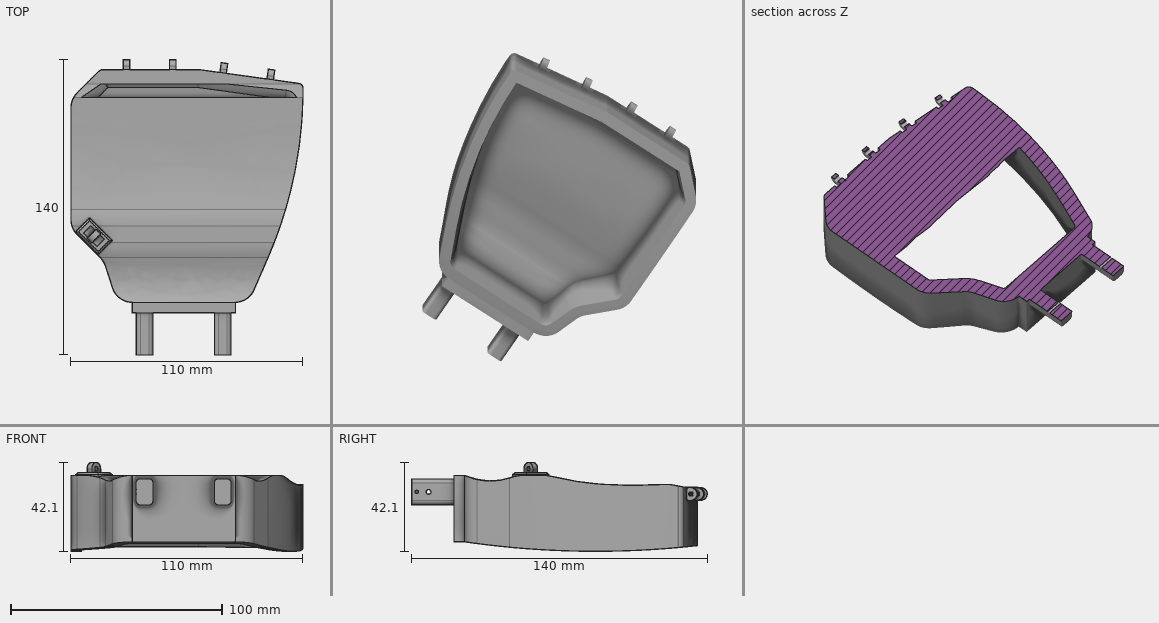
import cadquery as cq
import math

PALM_WIDTH = 110.0
KNUCKLE_Y = 110.3
SIDE_TOP_Y = 96.3
SIDE_LOW_Y = 35.1
WAIST = (15.6, 19.5)
WRIST_LEFT_X = 21.9
SLANT_START_X = 60.7
SLANT_END_Y = 103.5
BULGE_RADIUS = 200.0
BULGE_CENTRE_Y = 101.0
BULGE_END_Y = 21.3
OUTLINE_FILLET = 10.0
KNUCKLE_LEFT_FILLET = 3.0
KNUCKLE_RIGHT_FILLET = 2.5

PALM_HEIGHT = 42.14
TOP_Z = 36.0
STRIP_Z = 30.6
WRIST_BOTTOM_Z = 4.5
KNUCKLE_BOTTOM_Z = 2.7
LOWEST_Y = 63.0
STRIP_Y = 103.5
TROUGH_Y = 97.1
SADDLE_Y = 75.8
SADDLE_Z = 31.3
TROUGH_EDGE_Z = 31.8
SADDLE_END = (1.0, 0.05)
RISE_Y = 44.1
RISE_Z = 35.0
RIDGE_BACK_Y = 36.1
RIDGE_FRONT_Y = 28.5
DIP_START = (21.3, 34.8)
DIP = (12.5, 33.3)

WALL = 5.0
UPPER_WALL = 8.5
ROOF = 5.0
TROUGH_FLOOR_Z = 28.5

PLATE_X = (29.0, 78.0)
PLATE_DEPTH = 5.0
PEG_XS = (34.9, 71.9)
PEG_WIDTH = 8.0
PEG_HEIGHT = 12.4
PEG_LENGTH = 20.0
PEG_FILLET = 2.0
PEG_Z = 28.2
PEG_EMBED = 1.0
PIN_DIAMETER = 2.2
PIN_FROM_END = 8.0
EXTRA_PIN_DIAMETER = 1.6
EXTRA_PIN_FROM_END = 2.4

LOOP_RADIUS = 3.0
LOOP_WIDTH = 3.2
LOOP_HOLE = 2.0
LOOP_GROOVE = 9.0
LOOP_STANDOFF = 1.7
LOOP_ROOT = 3.2
KNUCKLE_LOOP_Z = 27.2
STRAIGHT_LOOP_XS = (26.3, 48.2)
SLANT_LOOP_XS = (72.1, 94.4)

PAD_CENTRE = (10.9, 31.4)
PAD_LENGTH = 15.2
PAD_WIDTH = 9.4
PAD_HEIGHT = 1.4
PAD_CHAMFER = 1.0
PAD_EMBED = 3.0
PAD_TURN = -45.0
PAD_LOOP_Z = PALM_HEIGHT - LOOP_RADIUS

SLANT_ANGLE = math.degrees(math.atan2(SLANT_END_Y - KNUCKLE_Y, PALM_WIDTH - SLANT_START_X))
TALL = 60.0


def bulge_point(angle):
    """Point of the bulging right side, by the angle below its widest point."""
    centre_x = PALM_WIDTH - BULGE_RADIUS
    return (
        centre_x + BULGE_RADIUS * math.cos(angle),
        BULGE_CENTRE_Y - BULGE_RADIUS * math.sin(angle),
    )


def palm_prism():
    """Palm outline as a tall prism with its vertical edges rounded."""
    left_top = (0, SIDE_TOP_Y)
    knuckle_left = (KNUCKLE_Y - SIDE_TOP_Y, KNUCKLE_Y)
    knuckle_right = (PALM_WIDTH, SLANT_END_Y)
    bulge_angle = math.asin((BULGE_CENTRE_Y - BULGE_END_Y) / BULGE_RADIUS)
    bulge_end = bulge_point(bulge_angle)
    wrist_right = (bulge_end[0] - BULGE_END_Y * math.tan(bulge_angle), 0)
    wrist_left = (WRIST_LEFT_X, 0)
    left_low = (0, SIDE_LOW_Y)
    prism = (
        cq.Workplane("XY")
        .moveTo(*left_top)
        .lineTo(*knuckle_left)
        .lineTo(SLANT_START_X, KNUCKLE_Y)
        .lineTo(*knuckle_right)
        .lineTo(PALM_WIDTH, BULGE_CENTRE_Y)
        .threePointArc(bulge_point(bulge_angle / 2), bulge_end)
        .lineTo(*wrist_right)
        .lineTo(*wrist_left)
        .lineTo(*WAIST)
        .lineTo(*left_low)
        .close()
        .extrude(TALL)
    )
    rounded = [(corner, OUTLINE_FILLET) for corner in (left_top, wrist_right, wrist_left, WAIST, left_low)]
    rounded.append((knuckle_left, KNUCKLE_LEFT_FILLET))
    rounded.append((knuckle_right, KNUCKLE_RIGHT_FILLET))
    for (x, y), radius in rounded:
        nearest = cq.selectors.NearestToPointSelector((x, y, TALL / 2))
        prism = prism.edges("|Z").edges(nearest).fillet(radius)
    return prism


def blend_radius(run, fall):
    """Radius of an arc that starts level and falls by fall over run."""
    return (run**2 + fall**2) / (2 * fall)


def blend_slope(run, fall):
    """Direction, towards +Y, at the falling end of that arc."""
    angle = 2 * math.atan2(fall, run)
    return (math.cos(angle), -math.sin(angle))


def side_profile(drop=0.0):
    """Palm side shape in Y and Z, with its top lowered by drop, swept across the palm."""
    ridge_z = TOP_Z - drop
    strip_z = STRIP_Z - drop
    dip_start = (DIP_START[0], DIP_START[1] - drop)
    dip = (DIP[0], DIP[1] - drop)
    rise = (RISE_Y, RISE_Z - drop)
    saddle = [(SADDLE_Y, SADDLE_Z - drop), (TROUGH_Y, TROUGH_EDGE_Z - drop)]
    front_blend = (RIDGE_FRONT_Y - DIP_START[0], TOP_Z - DIP_START[1])
    back_blend = (RISE_Y - RIDGE_BACK_Y, TOP_Z - RISE_Z)
    return (
        cq.Workplane("YZ")
        .moveTo(0, WRIST_BOTTOM_Z)
        .lineTo(0, ridge_z)
        .spline([dip, dip_start], includeCurrent=True)
        .radiusArc((RIDGE_FRONT_Y, ridge_z), blend_radius(*front_blend))
        .lineTo(RIDGE_BACK_Y, ridge_z)
        .radiusArc(rise, blend_radius(*back_blend))
        .spline(saddle, tangents=[blend_slope(*back_blend), SADDLE_END], includeCurrent=True)
        .lineTo(STRIP_Y, strip_z)
        .lineTo(KNUCKLE_Y, strip_z)
        .lineTo(KNUCKLE_Y, KNUCKLE_BOTTOM_Z)
        .threePointArc((LOWEST_Y, 0), (0, WRIST_BOTTOM_Z))
        .close()
        .extrude(PALM_WIDTH)
    )


def inset_outline(prism, inset):
    """Palm outline moved inwards, as a pending wire at Z = 0."""
    outline = prism.faces("<Z").wires().val()
    return cq.Workplane("XY").newObject(outline.offset2D(-inset)).toPending()


def palm_cavity(prism):
    """Hollow inside the walls, open underneath and narrowing upwards."""
    draft = math.degrees(math.atan2(UPPER_WALL - WALL, TROUGH_FLOOR_Z))
    inner = inset_outline(prism, WALL).extrude(TOP_Z, taper=draft)
    below_roof = side_profile(ROOF)
    opened = below_roof.union(below_roof.translate((0, 0, -ROOF)))
    return inner.intersect(opened)


def knuckle_trough(prism):
    """Shallow trough with sloping ends in front of the knuckle strip."""
    depth = STRIP_Z - TROUGH_FLOOR_Z
    floor = inset_outline(prism, UPPER_WALL)
    slope = math.degrees(math.atan2(UPPER_WALL - WALL, depth))
    bowl = floor.extrude(2 * depth, taper=-slope).translate((0, 0, TROUGH_FLOOR_Z))
    band = cq.Workplane("XY").box(PALM_WIDTH, STRIP_Y - TROUGH_Y, TALL, centered=False)
    return bowl.intersect(band.translate((0, TROUGH_Y, 0)))


def wrist_plate():
    left, right = PLATE_X
    plate = cq.Workplane("XY").box(
        right - left, PLATE_DEPTH, TOP_Z - WRIST_BOTTOM_Z, centered=False
    )
    return plate.translate((left, -PLATE_DEPTH, WRIST_BOTTOM_Z))


def peg(x):
    """Rounded rectangular peg with a cross pin hole."""
    length = PEG_LENGTH + PEG_EMBED
    end_y = -PLATE_DEPTH - PEG_LENGTH
    body = cq.Workplane("XY").box(PEG_WIDTH, length, PEG_HEIGHT, centered=(True, False, True))
    return body.edges("|Y").fillet(PEG_FILLET).translate((x, end_y, PEG_Z))


def pin_hole(x, diameter, from_end):
    """Cutter for a pin hole across one peg."""
    y = -PLATE_DEPTH - PEG_LENGTH + from_end
    hole = cq.Workplane("YZ").center(y, PEG_Z).circle(diameter / 2)
    return hole.extrude(PEG_WIDTH, both=True).translate((x, 0, 0))


def axle(radius, length):
    """Cylinder along X, centred on the origin."""
    return cq.Workplane("YZ").circle(radius).extrude(length / 2, both=True)


def loop():
    """Tendon loop with its axis along X through the origin and its root towards -Y."""
    root = cq.Workplane("XY").box(
        LOOP_WIDTH, LOOP_ROOT, 2 * LOOP_RADIUS, centered=(True, False, True)
    )
    eye = axle(LOOP_RADIUS, LOOP_WIDTH)
    return eye.union(root.translate((0, -LOOP_ROOT, 0))).cut(axle(LOOP_HOLE / 2, LOOP_GROOVE))


def add_loop(body, place):
    """Cut the clearance groove for a loop and put the loop in it."""
    return body.cut(place(axle(LOOP_RADIUS, LOOP_GROOVE))).union(place(loop()))


def on_knuckles(x, y, angle):
    """Placement of a loop on the knuckle face at x, y, turned with the face."""

    def place(shape):
        turned = shape.translate((0, LOOP_STANDOFF, 0)).rotate((0, 0, 0), (0, 0, 1), angle)
        return turned.translate((x, y, KNUCKLE_LOOP_Z))

    return place


def on_pad(shape):
    """Placement of the upright loop on the corner pad."""
    upright = shape.rotate((0, 0, 0), (1, 0, 0), 90)
    turned = upright.rotate((0, 0, 0), (0, 0, 1), PAD_TURN)
    return turned.translate((*PAD_CENTRE, PAD_LOOP_Z))


def corner_pad():
    """Bevelled pad lying along the lower left corner cut."""
    pad = cq.Workplane("XY").box(
        PAD_LENGTH, PAD_WIDTH, PAD_HEIGHT + PAD_EMBED, centered=(True, True, False)
    )
    pad = pad.faces(">Z").chamfer(PAD_CHAMFER)
    turned = pad.rotate((0, 0, 0), (0, 0, 1), PAD_TURN)
    return turned.translate((*PAD_CENTRE, TOP_Z - PAD_EMBED))


prism = palm_prism()
palm = prism.intersect(side_profile())
palm = palm.cut(palm_cavity(prism)).cut(knuckle_trough(prism))

palm = palm.union(wrist_plate())
for peg_x in PEG_XS:
    palm = palm.union(peg(peg_x)).cut(pin_hole(peg_x, PIN_DIAMETER, PIN_FROM_END))
palm = palm.cut(pin_hole(PEG_XS[1], EXTRA_PIN_DIAMETER, EXTRA_PIN_FROM_END))

for loop_x in STRAIGHT_LOOP_XS:
    palm = add_loop(palm, on_knuckles(loop_x, KNUCKLE_Y, 0))
for loop_x in SLANT_LOOP_XS:
    slant_y = KNUCKLE_Y + (loop_x - SLANT_START_X) * math.tan(math.radians(SLANT_ANGLE))
    palm = add_loop(palm, on_knuckles(loop_x, slant_y, SLANT_ANGLE))

result = add_loop(palm.union(corner_pad()), on_pad).solids()